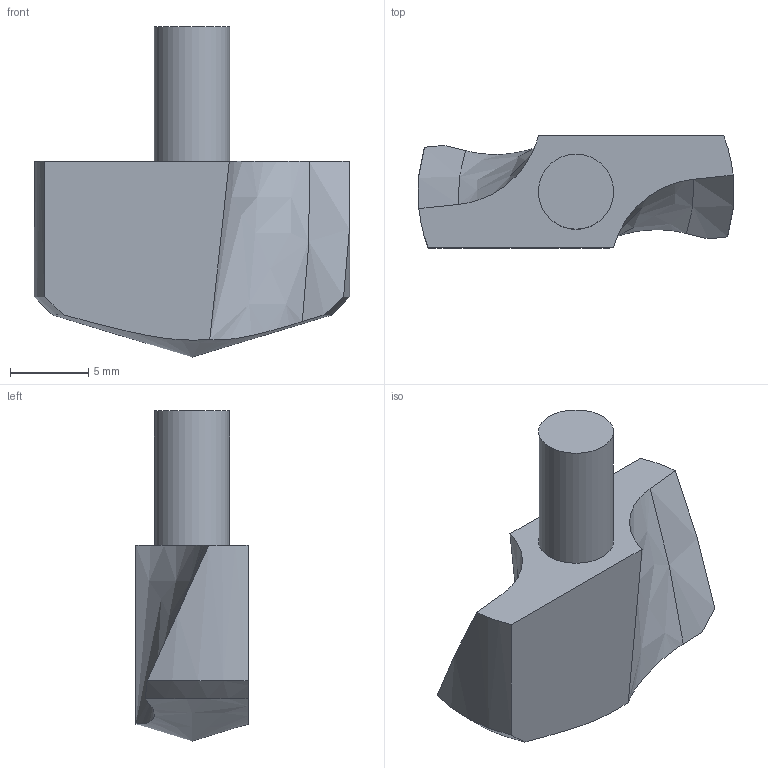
import cadquery as cq
import math


shank_diameter = 4.8
shank_length = 8.6

head_radius = 10.1
head_thickness = 7.17
head_height = 12.5

point_slope = math.radians(16.8)
corner_chamfer = 1.15

flute_top_angle = 6.1
flute_face_inner_radius = 7.53
flute_arc_radius = 5.93
flute_twist_rate = 2.61
flute_count = 2

cutter_margin = 1.0
cutter_reach = 1.5 * head_radius


def make_head_blank():
    """Round head with a conical point, trimmed to a flat blade."""
    cone_radius = head_radius - corner_chamfer
    cone_height = cone_radius * math.tan(point_slope)
    round_head = (
        cq.Workplane("XZ")
        .moveTo(0, 0)
        .lineTo(cone_radius, cone_height)
        .lineTo(head_radius, cone_height + corner_chamfer)
        .lineTo(head_radius, head_height)
        .lineTo(0, head_height)
        .close()
        .revolve(360, (0, 0), (0, 1))
    )
    blade = cq.Workplane("XY").box(
        2 * cutter_reach, head_thickness, head_height, centered=(True, True, False)
    )
    return round_head.intersect(blade)


def make_flute_cutter():
    """Twisted cutter for the flute on the +X side; its lower section starts with the radial face on X."""
    arc_center_x = flute_face_inner_radius
    arc_left_x = arc_center_x - flute_arc_radius
    arc_mid_offset = flute_arc_radius * math.sqrt(0.5)
    arc_mid = (arc_center_x - arc_mid_offset, arc_mid_offset - flute_arc_radius)

    cutter_height = head_height + 2 * cutter_margin
    cutter_bottom_angle = flute_top_angle - flute_twist_rate * (head_height + cutter_margin)
    return (
        cq.Workplane("XY")
        .moveTo(cutter_reach, 0)
        .lineTo(flute_face_inner_radius, 0)
        .threePointArc(arc_mid, (arc_left_x, -flute_arc_radius))
        .lineTo(arc_left_x, -cutter_reach)
        .lineTo(cutter_reach, -cutter_reach)
        .close()
        .twistExtrude(cutter_height, flute_twist_rate * cutter_height)
        .rotate((0, 0, 0), (0, 0, 1), cutter_bottom_angle)
        .translate((0, 0, -cutter_margin))
    )


def cut_flutes(head):
    """Cut the flutes evenly spaced around the drill axis."""
    cutter = make_flute_cutter()
    for index in range(flute_count):
        head = head.cut(cutter.rotate((0, 0, 0), (0, 0, 1), index * 360 / flute_count))
    return head


def make_shank():
    """Plain cylinder standing on top of the head."""
    return (
        cq.Workplane("XY")
        .workplane(offset=head_height)
        .circle(shank_diameter / 2)
        .extrude(shank_length)
    )


result = cut_flutes(make_head_blank()).union(make_shank())